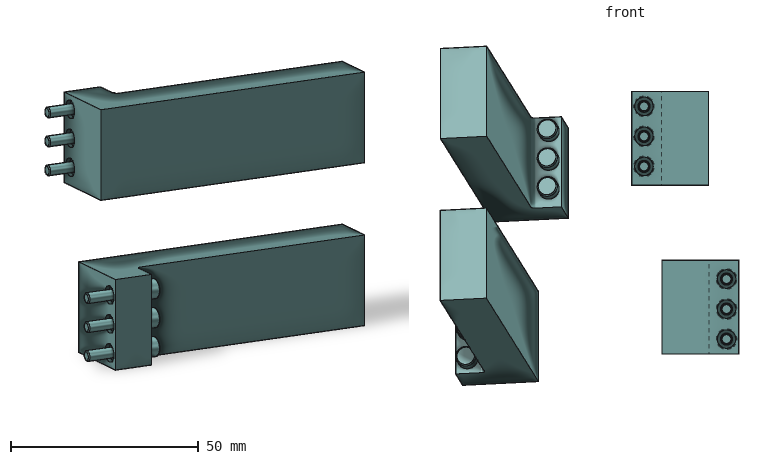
import cadquery as cq

BLOCK_LENGTH = 79.95
BLOCK_WIDTH = 20.5
BLOCK_HEIGHT = 25.05
FOOT_DEPTH = 11.0
FOOT_REACH = 8.0
CORNER_RADIUS = 1.05

TOTAL_WIDTH = 28.6
TOTAL_HEIGHT = 70.0

SCREW_COUNT = 3
SCREW_PITCH = 8.0
SCREW_SIDE_OFFSET = 3.3
SCREW_TOP_OFFSET = 4.0

SHANK_DIAMETER = 3.0
TIP_PROTRUSION = 7.05
SHANK_LENGTH = FOOT_DEPTH + TIP_PROTRUSION
TIP_CHAMFER = 0.305
HEAD_DIAMETER = 5.5
HEAD_HEIGHT = 3.05
HEAD_CHAMFER = 0.35

BORE_DIAMETER = 3.2
COUNTERBORE_DIAMETER = 5.0
COUNTERBORE_DEPTH = 1.2

LEFT = -TOTAL_WIDTH / 2
TOP = TOTAL_HEIGHT / 2
SCREW_X = LEFT + SCREW_SIDE_OFFSET
SCREW_HEIGHTS = [TOP - SCREW_TOP_OFFSET - i * SCREW_PITCH for i in range(SCREW_COUNT)]


def cylinder_along_y(diameter, length, start_y, z):
    """Cylinder on the screw line at height z, running from start_y toward +Y."""
    center = cq.Vector(SCREW_X, start_y, z)
    return cq.Workplane(cq.Solid.makeCylinder(diameter / 2, length, center, cq.Vector(0, 1, 0)))


def make_upper_block():
    right = LEFT + BLOCK_WIDTH
    leg_left = LEFT + FOOT_REACH
    block = (
        cq.Workplane("XY", origin=(0, 0, TOP - BLOCK_HEIGHT))
        .moveTo(LEFT, 0)
        .lineTo(right, 0)
        .lineTo(right, BLOCK_LENGTH)
        .lineTo(leg_left, BLOCK_LENGTH)
        .lineTo(leg_left, FOOT_DEPTH + CORNER_RADIUS)
        .radiusArc((leg_left - CORNER_RADIUS, FOOT_DEPTH), CORNER_RADIUS)
        .lineTo(LEFT, FOOT_DEPTH)
        .close()
        .extrude(BLOCK_HEIGHT)
    )
    for z in SCREW_HEIGHTS:
        block = block.cut(cylinder_along_y(BORE_DIAMETER, FOOT_DEPTH, 0, z))
        block = block.cut(cylinder_along_y(COUNTERBORE_DIAMETER, COUNTERBORE_DEPTH, 0, z))
    return block


def make_upper_screw(z):
    """Screw whose head rests on the back of the foot and whose tip stands out in front."""
    shank = cylinder_along_y(SHANK_DIAMETER, SHANK_LENGTH, FOOT_DEPTH - SHANK_LENGTH, z)
    shank = shank.faces("<Y").chamfer(TIP_CHAMFER)
    head = cylinder_along_y(HEAD_DIAMETER, HEAD_HEIGHT, FOOT_DEPTH, z)
    head = head.faces(">Y").edges().chamfer(HEAD_CHAMFER)
    return head.union(shank)


def turned_to_lower(body):
    """Copy of an upper body turned half a turn about the Y axis."""
    return body.rotate((0, 0, 0), (0, 1, 0), 180)


upper_block = make_upper_block()
lower_block = turned_to_lower(upper_block)
upper_screws = [make_upper_screw(z) for z in SCREW_HEIGHTS]
lower_screws = [turned_to_lower(screw) for screw in upper_screws]

blocks = [upper_block, lower_block]
screws = upper_screws + lower_screws
result = cq.Compound.makeCompound([body.val() for body in blocks + screws])